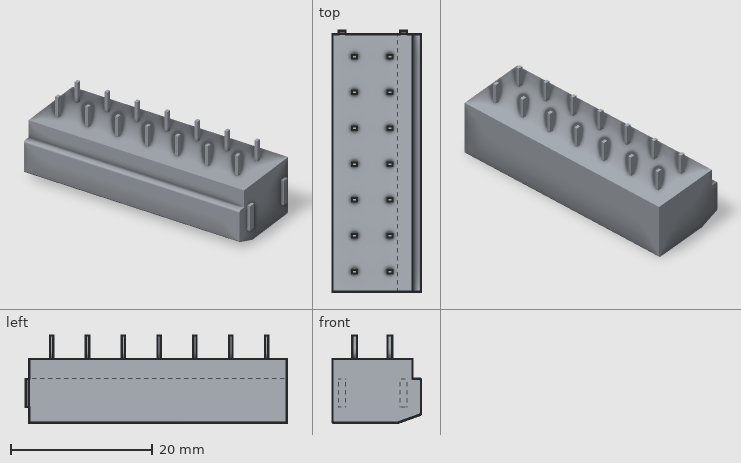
import cadquery as cq

pole_count = 7
pole_pitch = 5.08
row_count = 2
row_pitch = 5.0
first_row_x = 3.15
first_pole_y = 2.88

end_wall_allowance = 1.0
housing_length = pole_count * pole_pitch + end_wall_allowance
housing_width = 12.6
housing_height = 9.1
ledge_width = 1.2
ledge_height = 6.3
bevel_width = 3.35
bevel_height = 1.2
edge_radius = 0.3

pin_width = 0.7
pin_thickness = 0.5
overall_height = 12.4
pin_length = overall_height - housing_height

tab_width = 1.0
tab_depth = 0.5
tab_bottom_z = 2.25
tab_height = 4.0
tab_left_edges_x = (0.9, 9.6)


def box_at(corner, size):
    """Box with its minimum corner at the given point."""
    return cq.Workplane("XY").box(*size, centered=False).translate(corner)


def make_housing():
    """Stepped, bevelled profile with three rounded long edges."""
    step_x = housing_width - ledge_width
    outline = [
        (0, 0),
        (housing_width - bevel_width, 0),
        (housing_width, bevel_height),
        (housing_width, ledge_height),
        (step_x, ledge_height),
        (step_x, housing_height),
        (0, housing_height),
    ]
    housing = cq.Workplane("XZ").polyline(outline).close().extrude(-housing_length)

    ledge_edges = housing.faces(">X").edges("|Y")
    housing = ledge_edges.fillet(edge_radius)
    bottom_left_edge = housing.edges("|Y and <X").edges("<Z")
    return bottom_left_edge.fillet(edge_radius)


def make_pin(row, pole):
    """One rectangular solder pin standing on the top face."""
    center_x = first_row_x + row * row_pitch
    center_y = first_pole_y + pole * pole_pitch
    corner = (center_x - pin_width / 2, center_y - pin_thickness / 2, housing_height)
    return box_at(corner, (pin_width, pin_thickness, pin_length))


def make_tab(left_x):
    """One upright coupling tab projecting from the +Y end face."""
    corner = (left_x, housing_length, tab_bottom_z)
    return box_at(corner, (tab_width, tab_depth, tab_height))


result = make_housing()

for row in range(row_count):
    for pole in range(pole_count):
        result = result.union(make_pin(row, pole))

for left_x in tab_left_edges_x:
    result = result.union(make_tab(left_x))